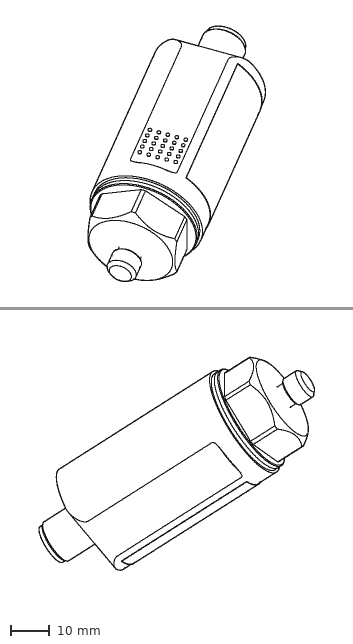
import cadquery as cq
import math

overall_length = 82.35

stud_radius = 4.0
stud_length = 5.35
stud_chamfer = 1.0
neck_radius = 3.1
neck_length = 2.8
neck_fillet = 0.6
hex_width = 24.0
hex_length = 9.8
hex_corner_radius = 13.5
hex_chamfer = 2.0
flange_radius = 14.7
flange_length = 1.3
flange_chamfer = 0.25

spigot_length = 1.0
housing_radius = 15.5
housing_length = 49.25
flat_height = 14.1
flat_length = 43.4
flat_end_round = 3.8
flat_cove_radius = 1.0

label_thickness = 0.2
label_length = 40.3
label_edge_x = 8.9

dimple_radius = 0.5
dimple_count = 5
dimple_pitch_x = 2.5
dimple_pitch_y = 2.0
dimple_margin = 3.05

collar_radius = 6.75
collar_length = 1.0
plug_radius = 6.0
plug_bevel_length = 0.5
plug_tip_radius = 5.5
plug_tip_length = 1.1

stud_end_y = -overall_length / 2
neck_front_y = stud_end_y + stud_length
hex_front_y = neck_front_y + neck_length
flange_front_y = hex_front_y + hex_length
joint_y = flange_front_y + flange_length
housing_front_y = joint_y + spigot_length
housing_back_y = housing_front_y + housing_length
connector_end_y = overall_length / 2
flat_front_y = housing_back_y - flat_length
flat_wall_y = flat_front_y - flat_cove_radius


def cylinder_y(radius, start_y, length):
    """Solid cylinder on the Y axis, running from start_y toward +Y."""
    return cq.Workplane("XZ", origin=(0, start_y, 0)).circle(radius).extrude(-length)


def revolve_about_y(profile):
    """Turn a closed (radius, y) profile in the XY plane about the Y axis."""
    return profile.close().revolve(360, (0, 0, 0), (0, 1, 0))


def make_stud():
    """Chamfered stud with a filleted neck that joins it to the hexagon."""
    shoulder_radius = neck_radius + neck_fillet
    shoulder_bevel = stud_radius - shoulder_radius
    profile = (
        cq.Workplane("XY")
        .moveTo(0, stud_end_y)
        .lineTo(stud_radius - stud_chamfer, stud_end_y)
        .lineTo(stud_radius, stud_end_y + stud_chamfer)
        .lineTo(stud_radius, neck_front_y - shoulder_bevel)
        .lineTo(shoulder_radius, neck_front_y)
        .radiusArc((neck_radius, neck_front_y + neck_fillet), neck_fillet)
        .lineTo(neck_radius, hex_front_y - neck_fillet)
        .radiusArc((shoulder_radius, hex_front_y), neck_fillet)
        .lineTo(0, hex_front_y)
    )
    return revolve_about_y(profile)


def make_hexagon():
    """Hexagon with two flats facing +-X, corners turned and front edge chamfered."""
    prism = (
        cq.Workplane("XZ", origin=(0, hex_front_y, 0))
        .transformed(rotate=(0, 0, 30))
        .polygon(6, hex_width / math.cos(math.pi / 6))
        .extrude(-hex_length)
    )
    turned_blank = cylinder_y(hex_corner_radius, hex_front_y, hex_length)
    return prism.intersect(turned_blank.faces("<Y").chamfer(hex_chamfer))


def make_fitting():
    flange = cylinder_y(flange_radius, flange_front_y, flange_length)
    flange = flange.faces("<Y").chamfer(flange_chamfer)
    return flange.union(make_hexagon()).union(make_stud())


def make_flat_cutter():
    """Cutter for the upper flat: rounded over at the back, coved at the front."""
    clear_z = housing_radius + flat_cove_radius
    return (
        cq.Workplane("YZ", origin=(-housing_radius, 0, 0))
        .moveTo(flat_wall_y, clear_z)
        .lineTo(flat_wall_y, flat_height + flat_cove_radius)
        .radiusArc((flat_front_y, flat_height), -flat_cove_radius)
        .lineTo(housing_back_y - flat_end_round, flat_height)
        .radiusArc((housing_back_y, flat_height - flat_end_round), flat_end_round)
        .lineTo(housing_back_y, clear_z)
        .close()
        .extrude(2 * housing_radius)
    )


def make_label_pad():
    """Thin raised pad wrapped around the +X side of the housing."""
    pad_radius = housing_radius + label_thickness
    pad = cylinder_y(pad_radius, flat_front_y, label_length)
    pad_side = cq.Workplane("XY", origin=(label_edge_x, 0, 0)).box(
        pad_radius, overall_length, 2 * pad_radius, centered=(False, True, True)
    )
    return pad.intersect(pad_side)


def make_dimples():
    """Grid of hemispherical dimples near the front end of the upper flat."""
    centre_y = flat_front_y + dimple_margin + dimple_pitch_y * (dimple_count - 1) / 2
    return (
        cq.Workplane("XY", origin=(0, centre_y, flat_height))
        .rarray(dimple_pitch_x, dimple_pitch_y, dimple_count, dimple_count)
        .sphere(dimple_radius)
    )


def make_housing():
    barrel = cylinder_y(housing_radius, housing_front_y, housing_length)
    spigot = cylinder_y(flange_radius, joint_y, spigot_length)
    upper_cutter = make_flat_cutter()
    lower_cutter = upper_cutter.mirror("XY")
    body = barrel.union(spigot).cut(upper_cutter).cut(lower_cutter)
    return body.union(make_label_pad()).cut(make_dimples())


def make_connector():
    """Round plug with a conical collar at the housing and a stepped-down tip."""
    tip_start_y = connector_end_y - plug_tip_length
    profile = (
        cq.Workplane("XY")
        .moveTo(0, housing_back_y)
        .lineTo(collar_radius, housing_back_y)
        .lineTo(plug_radius, housing_back_y + collar_length)
        .lineTo(plug_radius, tip_start_y - plug_bevel_length)
        .lineTo(plug_tip_radius, tip_start_y)
        .lineTo(plug_tip_radius, connector_end_y)
        .lineTo(0, connector_end_y)
    )
    return revolve_about_y(profile)


fitting = make_fitting()
housing = make_housing()
connector = make_connector()

result = cq.Compound.makeCompound([fitting.val(), housing.val(), connector.val()])